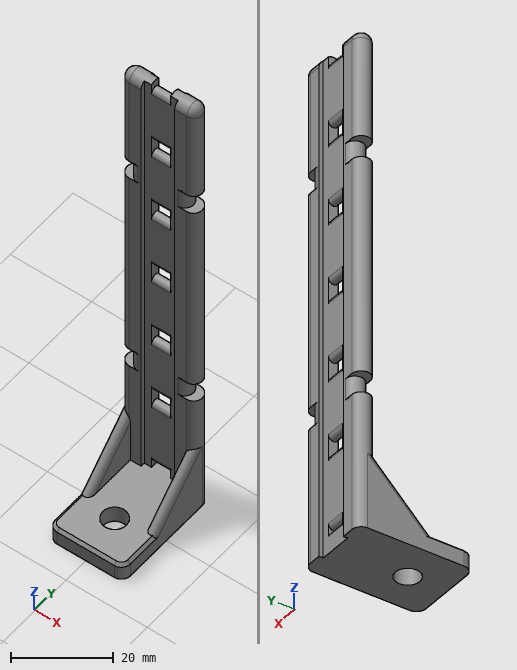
import cadquery as cq
import math

height = 118.1
width = 18.5
post_depth = 4.4
edge_radius = post_depth / 2

channel_width = 8.3
web_depth = 2.4
web_radius = web_depth / 2

window_count = 5
lowest_window_drop = 93.0
pitch = lowest_window_drop / window_count
window_width = 4.7
window_height = 6.1
foot_window_top = 7.1

notch_height = 5.0
notch_depth = edge_radius
notch_pitches = (1.5, 4.5)

foot_length = 27.4
foot_thickness = 4.3
foot_corner_radius = 2.2
foot_chamfer = 0.7
hole_diameter = 5.8
hole_to_front = 9.2

gusset_thickness = 2.5
gusset_reach = 21.6

back_y = post_depth / 2
front_y = back_y - foot_length


def box(size_x, size_y, z_bottom, z_top):
    """Box centred on the Z axis between two heights."""
    block = cq.Workplane("XY").box(size_x, size_y, z_top - z_bottom, centered=(True, True, False))
    return block.translate((0, 0, z_bottom))


def make_post():
    """Bar with half-round sides, a half-round top and spherical top corners."""
    straight_top = height - edge_radius
    core_width = width - post_depth
    post = box(core_width, post_depth, 0, straight_top)
    top_round = (
        cq.Workplane("YZ").center(0, straight_top).circle(edge_radius).extrude(core_width / 2, both=True)
    )
    post = post.union(top_round)
    for side in (-1, 1):
        edge_x = side * core_width / 2
        side_round = cq.Workplane("XY").center(edge_x, 0).circle(edge_radius).extrude(straight_top)
        corner = cq.Workplane("XY").sphere(edge_radius).translate((edge_x, 0, straight_top))
        post = post.union(side_round).union(corner)
    return post


def cut_notches(post):
    """Narrow the post at each notch, leaving a neck with half-round sides."""
    neck_width = width - 2 * notch_depth
    for pitches in notch_pitches:
        middle = height - pitches * pitch
        bottom = middle - notch_height / 2
        top = middle + notch_height / 2
        neck = cq.Workplane("XY").slot2D(neck_width, post_depth).extrude(notch_height)
        neck = neck.translate((0, 0, bottom))
        post = post.cut(box(width, post_depth, bottom, top).cut(neck))
    return post


def cut_channels(post):
    """Cut the front and back channels; the front one ends on the foot."""
    channel_depth = (post_depth - web_depth) / 2
    offset = (web_depth + channel_depth) / 2
    front_channel = box(channel_width, channel_depth, foot_thickness, height).translate((0, -offset, 0))
    back_channel = box(channel_width, channel_depth, 0, height).translate((0, offset, 0))
    return post.cut(front_channel).cut(back_channel)


def window_cutter(bottom, top):
    """Opening whose upper and lower lips are half-round across the web."""
    cutter = box(window_width, post_depth, bottom, top)
    for lip_z in (bottom, top):
        lip = cq.Workplane("YZ").center(0, lip_z).circle(web_radius).extrude(window_width)
        cutter = cutter.cut(lip.translate((-window_width / 2, 0, 0)))
    return cutter


def cut_windows(post):
    """Cut the full windows, the half window in the top end and the one at the foot."""
    for index in range(window_count + 1):
        middle = height - index * pitch
        post = post.cut(window_cutter(middle - window_height / 2, middle + window_height / 2))
    foot_window = window_cutter(foot_window_top - window_height, foot_window_top)
    above_foot = box(window_width, post_depth, foot_thickness, foot_window_top)
    return post.cut(foot_window.intersect(above_foot))


def make_foot():
    """Plate from mid-post forward, with rounded corners, a chamfered rim and a screw hole."""
    foot = cq.Workplane("XY").box(width, -front_y, foot_thickness, centered=(True, False, False))
    foot = foot.translate((0, front_y, 0))
    foot = foot.edges("|Z and <Y").fillet(foot_corner_radius)
    foot = foot.faces(">Z").edges("not >Y").chamfer(foot_chamfer)
    hole = cq.Workplane("XY").center(0, front_y + hole_to_front).circle(hole_diameter / 2)
    return foot.cut(hole.extrude(foot_thickness))


def make_gusset(side):
    """Triangular rib flush with one side of the post, its slope fully rounded."""
    ridge_radius = gusset_thickness / 2
    middle_x = side * (width - gusset_thickness) / 2
    axis_reach = gusset_reach - ridge_radius * math.sqrt(2)
    axis_foot_y = back_y - axis_reach
    axis_top = axis_reach - back_y
    body = (
        cq.Workplane("YZ")
        .polyline([(0, 0), (axis_foot_y, 0), (0, axis_top)])
        .close()
        .extrude(gusset_thickness / 2, both=True)
        .translate((middle_x, 0, 0))
    )
    ridge_axis = cq.Vector(0, 1, 1)
    ridge = cq.Workplane(
        cq.Solid.makeCylinder(
            ridge_radius, axis_top * math.sqrt(2), cq.Vector(middle_x, axis_foot_y, 0), ridge_axis
        )
    )
    limits = cq.Workplane("XY").box(width, foot_length, height, centered=(True, False, False))
    limits = limits.translate((0, -foot_length, 0))
    return body.union(ridge).intersect(limits)


post = cut_windows(cut_channels(cut_notches(make_post())))
result = post.union(make_foot())
for side in (-1, 1):
    result = result.union(make_gusset(side))